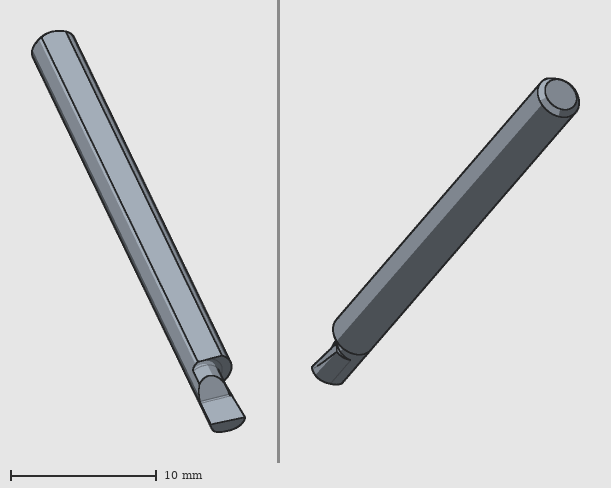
import cadquery as cq
import math

length = 38.1
shank_diameter = 3.15
shank_radius = shank_diameter / 2
shank_length = 33.22
rear_chamfer = 0.4
height_over_flat = 2.9
flat_height = height_over_flat - shank_radius

neck_radius = 1.15
neck_offset = -0.57
shoulder_fillet = 0.3

rake_height = 0.0
relief_foot = 35.75
relief_angle = 45.0
relief_blend = 0.2
head_start = 34.65
head_root_y = 0.6
tip_y = 0.88
end_skew = 0.1
end_clearance_angle = 7.0


def rod(radius, start, end, center_y=0.0):
    """Cylinder along X between two stations."""
    return cq.Workplane("YZ", origin=(start, center_y, 0)).circle(radius).extrude(end - start)


def make_shank():
    """Full-length chamfered round with a flat along its top."""
    body = rod(shank_radius, 0, length).faces("<X").chamfer(rear_chamfer)
    flat_cut = (
        cq.Workplane("XY", origin=(0, 0, flat_height))
        .rect(2 * length, 4 * shank_radius)
        .extrude(shank_radius)
    )
    return body.cut(flat_cut)


def make_neck():
    """Round neck flaring into the shoulder through a concave fillet."""
    fillet_end = shank_length + shoulder_fillet
    flare_radius = neck_radius + shoulder_fillet
    arc_reach = shoulder_fillet * math.sqrt(0.5)
    return (
        cq.Workplane("XY", origin=(0, neck_offset, 0))
        .moveTo(shank_length, 0)
        .lineTo(shank_length, flare_radius)
        .threePointArc(
            (fillet_end - arc_reach, flare_radius - arc_reach),
            (fillet_end, neck_radius),
        )
        .lineTo(length, neck_radius)
        .lineTo(length, 0)
        .close()
        .revolve(360, (0, 0, 0), (1, 0, 0))
    )


def make_head():
    """Rounded head below the rake flat, widening towards the tip."""
    plan = (
        cq.Workplane("XY", origin=(0, 0, rake_height))
        .moveTo(head_start, -shank_radius)
        .lineTo(length - end_skew, -shank_radius)
        .lineTo(length, tip_y)
        .lineTo(head_start, head_root_y)
        .close()
        .extrude(-shank_radius)
    )
    return plan.intersect(rod(neck_radius, head_start, length, tip_y - neck_radius))


def make_relief_cut():
    """Space above the rake flat and its sloping relief, with a blended corner."""
    cut_height = 2 * shank_radius
    slope_run = cut_height / math.tan(math.radians(relief_angle))
    return (
        cq.Workplane("XZ", origin=(0, cut_height, 0))
        .moveTo(relief_foot, rake_height)
        .lineTo(2 * length, rake_height)
        .lineTo(2 * length, rake_height + cut_height)
        .lineTo(relief_foot - slope_run, rake_height + cut_height)
        .close()
        .extrude(2 * cut_height)
        .edges(cq.selectors.NearestToPointSelector((relief_foot, 0, rake_height)))
        .fillet(relief_blend)
    )


def make_end_cut():
    """Skewed end plane that leans back below the cutting edge."""
    depth = 2 * shank_radius
    lean = depth * math.tan(math.radians(end_clearance_angle))
    skew_angle = math.degrees(math.atan(end_skew / (tip_y + shank_radius)))
    wedge = (
        cq.Workplane("XZ", origin=(0, depth, 0))
        .moveTo(length, rake_height)
        .lineTo(length - lean, rake_height - depth)
        .lineTo(length + depth, rake_height - depth)
        .lineTo(length + depth, rake_height)
        .close()
        .extrude(2 * depth)
    )
    return wedge.rotate((length, tip_y, 0), (length, tip_y, 1), -skew_angle)


shank = make_shank()
front_section = shank.intersect(make_neck().union(make_head()))
result = shank.intersect(rod(shank_radius * 2, 0, shank_length)).union(front_section)
result = result.cut(make_relief_cut()).cut(make_end_cut())